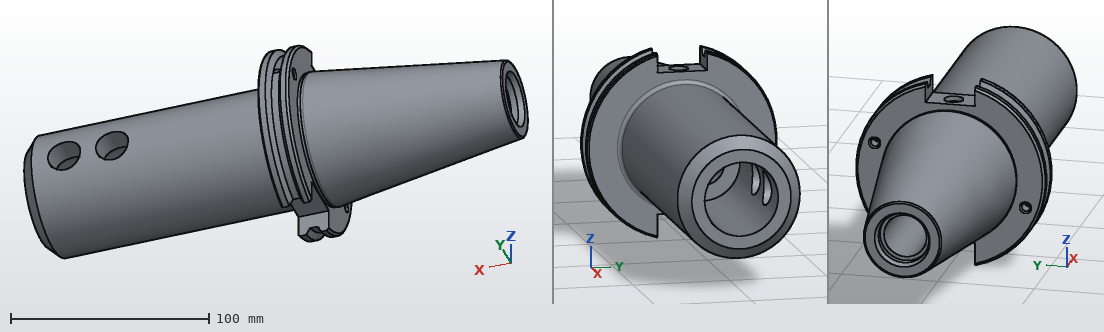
import cadquery as cq
import math

total_length = 254.0

gauge_length = 101.5
gauge_radius = 69.8 / 2
taper_ratio = 7 / 24
taper_tip_radius = gauge_radius - gauge_length * taper_ratio / 2
tip_chamfer = 0.8
land_end = 102.9
neck_radius = 69.3 / 2

flange_start = 104.5
flange_end = 120.6
flange_middle = (flange_start + flange_end) / 2
flange_radius = 98.3 / 2
front_flange_chamfer = 1.3
rear_flange_chamfer = 0.8
groove_middle = 112.5
groove_floor_width = 3.8
groove_depth = 3.5
groove_wall_angle = 30.0
groove_floor_half = groove_floor_width / 2
groove_mouth_half = groove_floor_half + groove_depth * math.tan(math.radians(groove_wall_angle))
groove_floor_radius = flange_radius - groove_depth

shank_radius = 63.5 / 2
shank_fillet = 2.0
shank_chamfer = 6.0

through_radius = 22.0 / 2
counterbore_radius = 26.2 / 2
counterbore_depth = 6.5
mouth_radius = 28.7 / 2
mouth_depth = 3.0
socket_radius = 38.0 / 2
socket_depth = 86.4

slot_width = 25.7
upper_slot_floor = 37.8
lower_slot_floor = 35.3
dimple_diameter = 9.7
dimple_depth = 2.5
drill_point_angle = 118.0

port_angles = (20.0, 200.0)
port_circle_radius = 41.7
port_diameter = 4.3
port_mouth_diameter = 6.0
port_depth = groove_middle - flange_start
port_screw_diameter = 3.3
port_screw_depth = groove_floor_radius - port_circle_radius

clamp_positions = (204.7, 230.5)
clamp_diameter = 17.3


def make_body():
    outline = (
        cq.Workplane("XY")
        .moveTo(0, 0)
        .lineTo(0, taper_tip_radius - tip_chamfer)
        .lineTo(tip_chamfer, taper_tip_radius + tip_chamfer * taper_ratio / 2)
        .lineTo(gauge_length, gauge_radius)
        .lineTo(land_end, gauge_radius)
        .lineTo(land_end, neck_radius)
        .lineTo(flange_start, neck_radius)
        .lineTo(flange_start, flange_radius - front_flange_chamfer)
        .lineTo(flange_start + front_flange_chamfer, flange_radius)
        .lineTo(groove_middle - groove_mouth_half, flange_radius)
        .lineTo(groove_middle - groove_floor_half, groove_floor_radius)
        .lineTo(groove_middle + groove_floor_half, groove_floor_radius)
        .lineTo(groove_middle + groove_mouth_half, flange_radius)
        .lineTo(flange_end - rear_flange_chamfer, flange_radius)
        .lineTo(flange_end, flange_radius - rear_flange_chamfer)
        .lineTo(flange_end, shank_radius + shank_fillet)
        .radiusArc((flange_end + shank_fillet, shank_radius), -shank_fillet)
        .lineTo(total_length - shank_chamfer, shank_radius)
        .lineTo(total_length, shank_radius - shank_chamfer)
        .lineTo(total_length, 0)
        .close()
    )
    return outline.revolve(360, (0, 0, 0), (1, 0, 0))


def make_bore():
    outline = (
        cq.Workplane("XY")
        .moveTo(0, 0)
        .lineTo(0, mouth_radius)
        .lineTo(mouth_depth, counterbore_radius)
        .lineTo(counterbore_depth, counterbore_radius)
        .lineTo(counterbore_depth, through_radius)
        .lineTo(total_length - socket_depth, through_radius)
        .lineTo(total_length - socket_depth, socket_radius)
        .lineTo(total_length, socket_radius)
        .lineTo(total_length, 0)
        .close()
    )
    return outline.revolve(360, (0, 0, 0), (1, 0, 0))


def drive_slot(floor_height, side):
    """Slot across the flange; side is +1 for the top and -1 for the bottom."""
    height = flange_radius - floor_height
    middle = side * (floor_height + height / 2)
    return cq.Workplane("XY").box(flange_end - flange_start, slot_width, height).translate(
        (flange_middle, 0, middle)
    )


def make_dimple():
    radius = dimple_diameter / 2
    point_length = radius / math.tan(math.radians(drill_point_angle / 2))
    floor = upper_slot_floor - dimple_depth
    outline = (
        cq.Workplane("XZ")
        .moveTo(0, upper_slot_floor)
        .lineTo(radius, upper_slot_floor)
        .lineTo(radius, floor)
        .lineTo(0, floor - point_length)
        .close()
    )
    return outline.revolve(360, (0, 0, 0), (0, 1, 0)).translate((flange_middle, 0, 0))


def coolant_port(angle):
    """Countersunk axial hole from the flange face, met by a radial hole from the groove floor."""
    across = math.cos(math.radians(angle))
    up = math.sin(math.radians(angle))
    axial = cq.Solid.makeCylinder(
        port_diameter / 2,
        port_depth,
        cq.Vector(flange_start, port_circle_radius * across, port_circle_radius * up),
        cq.Vector(1, 0, 0),
    )
    countersink = cq.Solid.makeCone(
        port_mouth_diameter / 2,
        port_diameter / 2,
        (port_mouth_diameter - port_diameter) / 2,
        cq.Vector(flange_start, port_circle_radius * across, port_circle_radius * up),
        cq.Vector(1, 0, 0),
    )
    radial = cq.Solid.makeCylinder(
        port_screw_diameter / 2,
        port_screw_depth + groove_depth,
        cq.Vector(groove_middle, port_circle_radius * across, port_circle_radius * up),
        cq.Vector(0, across, up),
    )
    return cq.Workplane(axial).union(cq.Workplane(countersink)).union(cq.Workplane(radial))


def clamp_hole(position):
    return cq.Workplane("XY").add(
        cq.Solid.makeCylinder(
            clamp_diameter / 2, shank_radius, cq.Vector(position, 0, 0), cq.Vector(0, 1, 0)
        )
    )


result = make_body().cut(make_bore())
result = result.cut(drive_slot(upper_slot_floor, 1))
result = result.cut(drive_slot(lower_slot_floor, -1))
result = result.cut(make_dimple())
for port_angle in port_angles:
    result = result.cut(coolant_port(port_angle))
for clamp_position in clamp_positions:
    result = result.cut(clamp_hole(clamp_position))